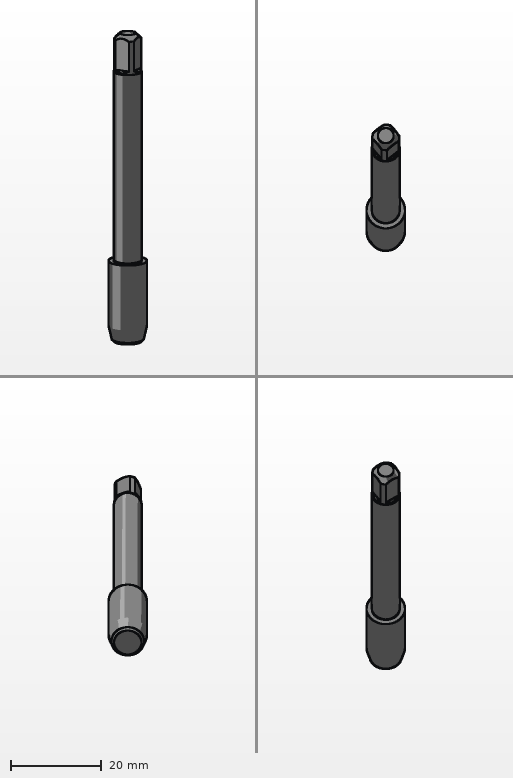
import cadquery as cq

total_length = 70.2
head_radius = 8.5 / 2
head_height = 18.3
lead_height = 3.5
lead_end_radius = 3.6
tip_radius = 3.0
tip_height = lead_end_radius - tip_radius

shank_radius = 6.2 / 2
shank_top = 61.4
neck_height = 0.2
shank_bottom = head_height + neck_height

drive_radius = 6.0 / 2
square_side = 5.0
flat_bottom = 62.2
drive_top_radius = 1.75
drive_bevel = drive_radius - drive_top_radius


def make_head():
    """Cutting head: a cylinder with a lead taper, a bevelled tip and a short neck."""
    return (
        cq.Workplane("XZ")
        .moveTo(0, 0)
        .lineTo(tip_radius, 0)
        .lineTo(lead_end_radius, tip_height)
        .lineTo(head_radius, lead_height)
        .lineTo(head_radius, head_height)
        .lineTo(shank_radius, head_height)
        .lineTo(shank_radius, shank_bottom)
        .lineTo(0, shank_bottom)
        .close()
        .revolve(360, (0, 0, 0), (0, 1, 0))
    )


def make_flat_cutter():
    """Material removed on the +X side: a flat that runs out at 45 degrees at its foot."""
    flat_distance = square_side / 2
    outer_distance = 2 * flat_distance
    runout = outer_distance - flat_distance
    return (
        cq.Workplane("XZ")
        .moveTo(flat_distance, flat_bottom)
        .lineTo(outer_distance, flat_bottom - runout)
        .lineTo(outer_distance, total_length)
        .lineTo(flat_distance, total_length)
        .close()
        .extrude(drive_radius, both=True)
    )


def make_shank():
    """Shank standing on the head, with a square drive at its top."""
    drive = (
        cq.Workplane("XY")
        .workplane(offset=shank_top)
        .circle(drive_radius)
        .extrude(total_length - shank_top)
        .faces(">Z")
        .chamfer(drive_bevel)
    )
    flat_cutter = make_flat_cutter()
    for quarter in range(4):
        drive = drive.cut(flat_cutter.rotate((0, 0, 0), (0, 0, 1), 90 * quarter))
    shank = (
        cq.Workplane("XY")
        .workplane(offset=shank_bottom)
        .circle(shank_radius)
        .extrude(shank_top - shank_bottom)
    )
    return shank.union(drive)


head = make_head()
shank = make_shank()

result = cq.Compound.makeCompound([head.val(), shank.val()])